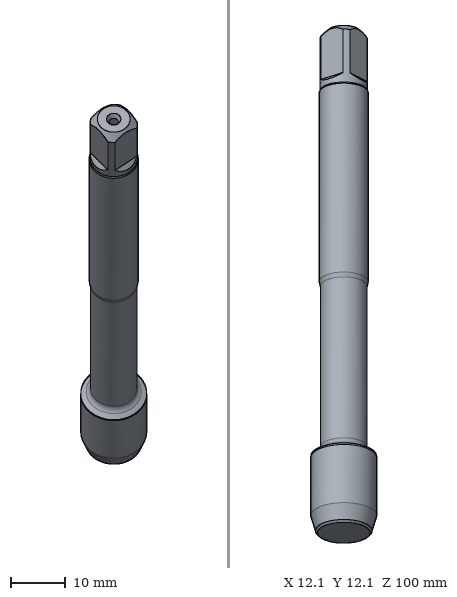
import cadquery as cq
import math

total_length = 100.0

head_dia = 12.1
head_length = 15.0
lead_length = 3.4
lead_end_dia = 10.4
end_chamfer = 0.4

shoulder_rim = 0.3
shoulder_angle = 62.0
neck_fillet = 1.4
neck_dia = 8.6
neck_top = 49.2
shank_dia = 9.0
shank_bottom = 50.1
shank_top = 87.8
collar_dia = 8.7
collar_bottom = 88.1

square_size = 7.0
square_bottom = 90.0
tip_face_dia = 6.0

center_hole_dia = 1.6
center_mouth_dia = 2.6
center_hole_depth = 3.0
countersink_angle = 60.0
drill_point_angle = 120.0


def turned(points):
    """Revolve a closed (radius, height) outline around the Z axis."""
    return cq.Workplane("XZ").polyline(points).close().revolve(360, (0, 0, 0), (0, 1, 0))


def make_head():
    head_radius = head_dia / 2
    lead_end_radius = lead_end_dia / 2
    return turned([
        (0, 0),
        (lead_end_radius - end_chamfer, 0),
        (lead_end_radius, end_chamfer),
        (head_radius, lead_length),
        (head_radius, head_length),
        (0, head_length),
    ])


def make_shank_blank():
    head_radius = head_dia / 2
    neck_radius = neck_dia / 2
    rim_top = head_length + shoulder_rim
    slope = math.radians(shoulder_angle)

    fillet_center_radius = neck_radius + neck_fillet
    cone_top_radius = fillet_center_radius - neck_fillet * math.cos(slope)
    cone_top = rim_top + (head_radius - cone_top_radius) / math.tan(slope)
    fillet_top = cone_top + neck_fillet * math.sin(slope)
    fillet_middle = (
        fillet_center_radius - neck_fillet * math.cos(slope / 2),
        fillet_top - neck_fillet * math.sin(slope / 2),
    )

    tip_chamfer = (collar_dia - tip_face_dia) / 2
    return (
        cq.Workplane("XZ")
        .moveTo(0, head_length)
        .lineTo(head_radius, head_length)
        .lineTo(head_radius, rim_top)
        .lineTo(cone_top_radius, cone_top)
        .threePointArc(fillet_middle, (neck_radius, fillet_top))
        .lineTo(neck_radius, neck_top)
        .lineTo(shank_dia / 2, shank_bottom)
        .lineTo(shank_dia / 2, shank_top)
        .lineTo(collar_dia / 2, collar_bottom)
        .lineTo(collar_dia / 2, total_length - tip_chamfer)
        .lineTo(tip_face_dia / 2, total_length)
        .lineTo(0, total_length)
        .close()
        .revolve(360, (0, 0, 0), (0, 1, 0))
    )


def make_flat_cutter():
    """Prism that mills the +X flat, with a 45 degree run-out at its lower end."""
    flat = square_size / 2
    reach = shank_dia / 2
    return (
        cq.Workplane("XZ")
        .polyline([
            (flat, square_bottom),
            (reach, square_bottom - (reach - flat)),
            (reach, total_length),
            (flat, total_length),
        ])
        .close()
        .extrude(shank_dia / 2, both=True)
    )


def make_center_hole():
    mouth = center_mouth_dia / 2
    bore = center_hole_dia / 2
    countersink_depth = (mouth - bore) / math.tan(math.radians(countersink_angle / 2))
    point_depth = bore / math.tan(math.radians(drill_point_angle / 2))
    bore_bottom = total_length - center_hole_depth
    return turned([
        (0, total_length),
        (mouth, total_length),
        (bore, total_length - countersink_depth),
        (bore, bore_bottom),
        (0, bore_bottom - point_depth),
    ])


def make_shank():
    shank = make_shank_blank()
    for side in range(4):
        shank = shank.cut(make_flat_cutter().rotate((0, 0, 0), (0, 0, 1), 90 * side))
    return shank.cut(make_center_hole())


head = make_head()
shank = make_shank()
result = cq.Compound.makeCompound([head.val(), shank.val()])